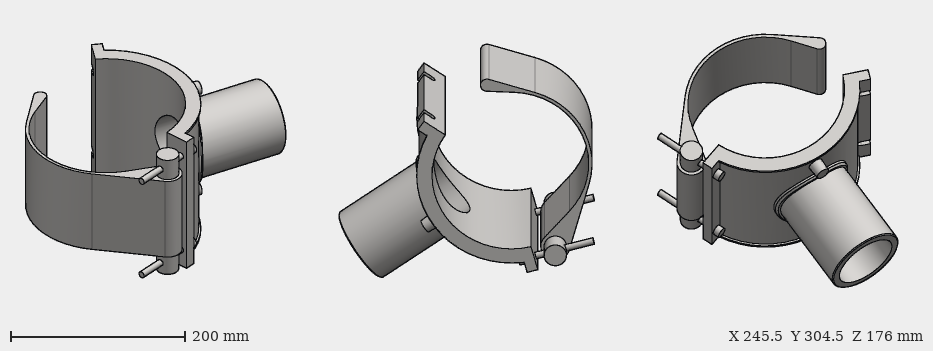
import cadquery as cq
import math


bore_radius = 91.0
barrel_radius = 106.3
lip_radius = 108.7
lip_width = 3.0
saddle_height = 176.0

flange_angle = 20.0
flange_end = 121.0
flange_bottom = 1.5
flange_thickness = 12.8
flange_top = flange_bottom + flange_thickness
slot_width = 8.8
slot_depth = 15.2
slot_height = 57.2

branch_diameter = 90.0
branch_bore = 72.0
branch_end = 211.5
branch_chamfer = 1.2
collar_diameter = 99.0
collar_radius = 111.0
collar_chamfer = 2.0

terminal_height = 70.0
terminal_end = 121.5
terminal_diameter = 15.8
terminal_base_diameter = 18.3
terminal_foot = (bore_radius + barrel_radius) / 2

strap_inner_radius = 89.0
strap_outer_radius = 93.0
strap_width = 105.3
eye_radius = 16.7
tip_radius = 7.5
tip_x = -96.0
tip_y = -33.8
pin_diameter = 26.0
pin_length = 159.0

bolt_along = 112.3
bolt_diameter = 8.0
bolt_end = -67.3
bolt_height = 65.2
head_diameter = 12.5
head_height = 7.5
pin_across = -21.5

overlap = 3.0


def flange_point(along, across, side=1):
    """XY point of the right (side 1) or left (side -1) flange frame."""
    angle = math.radians(flange_angle)
    x = along * math.cos(angle) - across * math.sin(angle)
    y = along * math.sin(angle) + across * math.cos(angle)
    return side * x, y


def polar(radius, angle, center=(0, 0)):
    return center[0] + radius * math.cos(angle), center[1] + radius * math.sin(angle)


def disc(radius, height):
    """Cylinder on the Z axis, centred on Z = 0."""
    return cq.Workplane("XY").circle(radius).extrude(height / 2, both=True)


def y_cylinder(diameter, start, end, z=0):
    """Cylinder parallel to Y."""
    plane = cq.Plane(origin=(0, start, z), xDir=(1, 0, 0), normal=(0, 1, 0))
    return cq.Workplane(plane).circle(diameter / 2).extrude(end - start)


def bolt_cylinder(diameter, start, end, z):
    """Cylinder on a bolt axis, between two places across the right flange."""
    x, y = flange_point(bolt_along, start)
    angle = math.radians(flange_angle)
    axis = (-math.sin(angle), math.cos(angle), 0)
    plane = cq.Plane(origin=(x, y, z), xDir=(0, 0, 1), normal=axis)
    return cq.Workplane(plane).circle(diameter / 2).extrude(end - start)


def make_barrel():
    """Barrel arc with a raised lip at both ends, cut off at the flange faces."""
    barrel = disc(barrel_radius, saddle_height)
    for side in (-1, 1):
        lip = cq.Workplane("XY").circle(lip_radius).extrude(lip_width)
        start = (saddle_height - lip_width) / 2 * side - lip_width / 2
        barrel = barrel.union(lip.translate((0, 0, start)))
    reach = 2 * lip_radius
    sector = [
        (0, flange_bottom / math.cos(math.radians(flange_angle))),
        flange_point(reach, flange_bottom),
        (0, 2 * reach),
        flange_point(reach, flange_bottom, -1),
    ]
    wedge = cq.Workplane("XY").polyline(sector).close().extrude(saddle_height / 2, both=True)
    return barrel.intersect(wedge)


def make_flange(side):
    root = (bore_radius + barrel_radius) / 2
    outline = [
        flange_point(bore_radius, flange_bottom, side),
        flange_point(flange_end, flange_bottom, side),
        flange_point(flange_end, flange_top, side),
        flange_point(root, flange_top, side),
    ]
    return cq.Workplane("XY").polyline(outline).close().extrude(saddle_height / 2, both=True)


def make_slot(z):
    """Round-ended slot, open at the outer end of the left flange."""
    x, y = flange_point(flange_end - slot_depth, flange_bottom - overlap, -1)
    angle = math.radians(flange_angle)
    plane = cq.Plane(
        origin=(x, y, z),
        xDir=(-math.cos(angle), math.sin(angle), 0),
        normal=(math.sin(angle), math.cos(angle), 0),
    )
    radius = slot_width / 2
    length = slot_depth + overlap
    return (
        cq.Workplane(plane)
        .moveTo(length, -radius)
        .lineTo(radius, -radius)
        .threePointArc((0, 0), (radius, radius))
        .lineTo(length, radius)
        .close()
        .extrude(flange_thickness + 2 * overlap)
    )


def make_collar():
    """Round pad around the branch, following the barrel and bevelled at its rim."""
    pad = y_cylinder(collar_diameter, 0, 2 * collar_radius)
    pad = pad.intersect(disc(collar_radius, saddle_height))
    return pad.faces(">Y").edges().chamfer(collar_chamfer)


def make_terminal(z):
    """Stub that narrows from its foot inside the barrel wall to its free end."""
    plane = cq.Plane(origin=(0, terminal_foot, z), xDir=(1, 0, 0), normal=(0, 1, 0))
    return (
        cq.Workplane(plane)
        .circle(terminal_base_diameter / 2)
        .workplane(offset=terminal_end - terminal_foot)
        .circle(terminal_diameter / 2)
        .loft()
    )


def make_saddle():
    saddle = make_barrel()
    for side in (-1, 1):
        saddle = saddle.union(make_flange(side))
    branch = y_cylinder(branch_diameter, bore_radius / 2, branch_end)
    branch = branch.faces(">Y").chamfer(branch_chamfer)
    saddle = saddle.union(make_collar()).union(branch)
    for side in (-1, 1):
        saddle = saddle.union(make_terminal(side * terminal_height))
    saddle = saddle.cut(disc(bore_radius, saddle_height))
    saddle = saddle.cut(y_cylinder(branch_bore, 0, branch_end + overlap))
    for side in (-1, 1):
        saddle = saddle.cut(make_slot(side * slot_height))
        hole = bolt_cylinder(bolt_diameter, flange_bottom - overlap, flange_top, side * bolt_height)
        saddle = saddle.cut(hole)
    return saddle


def tangent_angle(center, distance, turn):
    """Direction from the origin in which the centre lies the given distance away.

    There are two such directions, one on each side of the centre; turn (1 or -1) picks one.
    A line square to it touches both the band circle and the circle at the centre.
    """
    return math.atan2(center[1], center[0]) + turn * math.acos(distance / math.hypot(*center))


def make_strap():
    """Band with a round tip and a hinge eye, all joined by tangent lines, plus the hinge pin."""
    eye = flange_point(bolt_along, pin_across)
    tip = (tip_x, tip_y)
    eye_inner = tangent_angle(eye, strap_inner_radius + eye_radius, -1)
    eye_outer = tangent_angle(eye, strap_outer_radius - eye_radius, -1)
    tip_inner = tangent_angle(tip, strap_inner_radius + tip_radius, 1)
    tip_outer = tangent_angle(tip, strap_outer_radius - tip_radius, 1)
    eye_far = math.atan2(eye[1], eye[0])
    tip_far = math.atan2(tip[1], tip[0])
    band = (
        cq.Workplane("XY")
        .moveTo(*polar(strap_inner_radius, eye_inner))
        .lineTo(*polar(eye_radius, eye_inner + math.pi, eye))
        .threePointArc(polar(eye_radius, eye_far, eye), polar(eye_radius, eye_outer, eye))
        .lineTo(*polar(strap_outer_radius, eye_outer))
        .threePointArc((0, -strap_outer_radius), polar(strap_outer_radius, tip_outer))
        .lineTo(*polar(tip_radius, tip_outer, tip))
        .threePointArc(polar(tip_radius, tip_far, tip), polar(tip_radius, tip_inner + math.pi, tip))
        .lineTo(*polar(strap_inner_radius, tip_inner))
        .threePointArc((0, -strap_inner_radius), polar(strap_inner_radius, eye_inner))
        .close()
        .extrude(strap_width / 2, both=True)
    )
    strap = band.union(disc(pin_diameter / 2, pin_length).translate((eye[0], eye[1], 0)))
    for side in (-1, 1):
        across = pin_across - pin_diameter
        hole = bolt_cylinder(bolt_diameter, across, across + 2 * pin_diameter, side * bolt_height)
        strap = strap.cut(hole)
    return strap


def make_bolt(z):
    shank = bolt_cylinder(bolt_diameter, bolt_end, flange_top, z)
    head = bolt_cylinder(head_diameter, flange_top, flange_top + head_height, z)
    return shank.union(head)


saddle = make_saddle()
strap = make_strap()
bolts = [make_bolt(side * bolt_height) for side in (-1, 1)]

result = cq.Compound.makeCompound([saddle.val(), strap.val(), *[bolt.val() for bolt in bolts]])